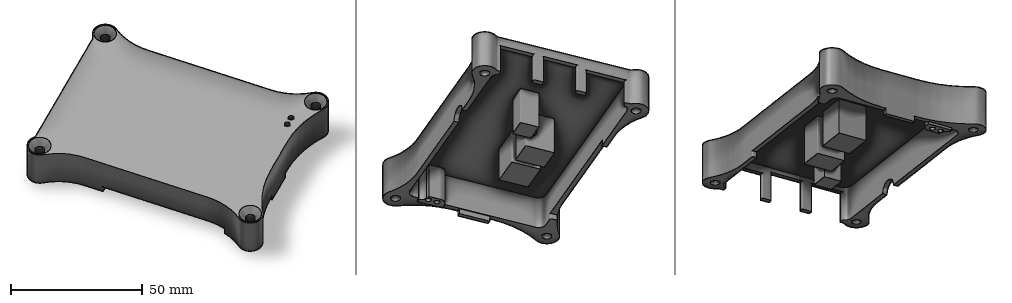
import cadquery as cq
import math

length = 97.3
width = 72.4
case_height = 16.05
full_height = 18.4
tab_depth = full_height - case_height

boss_radius = 4.9
boss_x = length / 2 - boss_radius
boss_y = width / 2 - boss_radius
screw_diameter = 3.7
countersink_diameter = 8.6
countersink_angle = 90

left_x = -47.2
right_x = 42.0
side_y = 30.1
left_blend_radius = 2.0
side_blend_radius = 25.0
right_blend_radius = 40.0

wall = 1.9
roof_thickness = 2.0
cavity_corner_radius = 3.0
cavity_top = case_height - roof_thickness
cavity_left = left_x + wall
cavity_right = right_x - wall
cavity_half_width = side_y - wall

tall_opening_top = 12.2
low_opening_top = 10.8
connector_openings = [
    (12.45, 26.0, tall_opening_top),
    (-5.4, 8.2, tall_opening_top),
    (-25.6, -9.4, low_opening_top),
]

opening_inner_x = cavity_left + cavity_corner_radius

edge_radius = 0.4

notch_x_from = -18.0
notch_x_to = 32.8
notch_height = 2.5
notch_inner_y = -cavity_half_width + wall

jack_x = -14.7
jack_radius = 4.0

pad_middle_y = -0.1
square_pad_y_to = 7.5
wide_pad_y_from = -12.1
pads = [
    (-22.5, -14.7, pad_middle_y, square_pad_y_to, -2.1, "|Z and >Y"),
    (-9.5, 0.5, wide_pad_y_from, pad_middle_y, -2.1, "|Z"),
    (4.1, 16.5, wide_pad_y_from, pad_middle_y, -0.7, "|Z and <X"),
]

post_x = -12.2
post_y = 0.0
post_radius = 3.3
post_bottom = 2.4

light_hole_diameter = 2.2
light_x = 38.4
light_y = 18.2
light_spacing = 3.6
guide_left = 36.3
guide_width = 10.4
guide_corner_radius = 2.9
guide_bottom = -1.1

clearance_x = 36.2
clearance_y = 24.0
clearance_radius = 3.5

tab_left = 40.4
tab_width = 12.5


def box(x_from, x_to, y_from, y_to, z_from, z_to):
    """Axis-aligned block between two opposite corners."""
    size = (x_to - x_from, y_to - y_from, z_to - z_from)
    return cq.Workplane("XY").box(*size, centered=False).translate((x_from, y_from, z_from))


def touch_point(boss, centre):
    """Point where a lug meets the blend arc around the given centre."""
    angle = math.atan2(centre[1] - boss[1], centre[0] - boss[0])
    return (boss[0] + boss_radius * math.cos(angle), boss[1] + boss_radius * math.sin(angle))


def arc_middle(centre, start, end):
    """Middle of the short arc from start to end around the given centre."""
    toward_x = start[0] + end[0] - 2 * centre[0]
    toward_y = start[1] + end[1] - 2 * centre[1]
    radius = math.dist(centre, start)
    scale = radius / math.hypot(toward_x, toward_y)
    return (centre[0] + toward_x * scale, centre[1] + toward_y * scale)


def mirrored(point):
    return (point[0], -point[1])


def add_stretch(outline, start, end, centre):
    if centre is None:
        return outline.lineTo(*end)
    return outline.threePointArc(arc_middle(centre, start, end), end)


def case_body():
    """Solid outline: straight sides running tangentially into four round lugs."""
    left_boss = (-boss_x, boss_y)
    right_boss = (boss_x, boss_y)

    left_offset_x = left_x - left_blend_radius + boss_x
    left_reach = math.sqrt((boss_radius + left_blend_radius) ** 2 - left_offset_x**2)
    left_centre = (left_x - left_blend_radius, boss_y - left_reach)

    side_centre_y = side_y + side_blend_radius
    side_reach = math.sqrt((boss_radius + side_blend_radius) ** 2 - (side_centre_y - boss_y) ** 2)
    side_left_centre = (-boss_x + side_reach, side_centre_y)
    side_right_centre = (boss_x - side_reach, side_centre_y)

    right_centre_x = right_x + right_blend_radius
    right_reach = math.sqrt((boss_radius + right_blend_radius) ** 2 - (right_centre_x - boss_x) ** 2)
    right_centre = (right_centre_x, boss_y - right_reach)

    points = [
        (left_x, left_centre[1]),
        touch_point(left_boss, left_centre),
        touch_point(left_boss, side_left_centre),
        (side_left_centre[0], side_y),
        (side_right_centre[0], side_y),
        touch_point(right_boss, side_right_centre),
        touch_point(right_boss, right_centre),
        (right_x, right_centre[1]),
    ]
    centres = [
        left_centre,
        left_boss,
        side_left_centre,
        None,
        side_right_centre,
        right_boss,
        right_centre,
    ]

    stretches = list(zip(points, points[1:], centres))
    lower_half = [
        (mirrored(end), mirrored(start), centre and mirrored(centre))
        for start, end, centre in reversed(stretches)
    ]
    outline = cq.Workplane("XY").moveTo(*points[0])
    for start, end, centre in stretches:
        outline = add_stretch(outline, start, end, centre)
    outline = outline.lineTo(*mirrored(points[-1]))
    for start, end, centre in lower_half:
        outline = add_stretch(outline, start, end, centre)
    return outline.close().extrude(case_height)


def cavity():
    block = box(cavity_left, cavity_right, -cavity_half_width, cavity_half_width, 0, cavity_top)
    return block.edges("|Z").fillet(cavity_corner_radius)


def cut_opening(case, x_range, y_range, height):
    """Cut an opening up from the rim through a wall and round its upright edges."""
    opened = case.cut(box(*x_range, *y_range, 0, height))
    middle = height / 2
    reach = edge_radius / 2
    near_opening = cq.selectors.BoxSelector(
        (x_range[0] - reach, y_range[0] - reach, middle - reach),
        (x_range[1] + reach, y_range[1] + reach, middle + reach),
    )
    return opened.edges("|Z").edges(near_opening).fillet(edge_radius)


def jack_cutout():
    return (
        cq.Workplane("XZ", origin=(jack_x, cavity_half_width, 0))
        .circle(jack_radius)
        .extrude(-2 * wall)
    )


def light_guide():
    """Block around the viewing holes, rounded on one corner and hollowed on the other."""
    block = box(
        guide_left,
        right_x - wall / 2,
        light_y - guide_width / 2,
        light_y + guide_width / 2,
        guide_bottom,
        case_height,
    )
    block = block.edges("|Z and <X and <Y").fillet(guide_corner_radius)
    clearance = (
        cq.Workplane("XY", origin=(clearance_x, clearance_y, guide_bottom))
        .circle(clearance_radius)
        .extrude(cavity_top - guide_bottom)
    )
    return block.cut(clearance)


def roof_parts():
    """Everything that hangs from the roof or the +X wall inside the case."""
    parts = light_guide()
    parts = parts.union(box(tab_left, right_x, -tab_width / 2, tab_width / 2, -tab_depth, case_height))
    for x_from, x_to, y_from, y_to, bottom, rounded_edges in pads:
        pad = box(x_from, x_to, y_from, y_to, bottom, case_height)
        parts = parts.union(pad.edges(rounded_edges).fillet(edge_radius))
    post = (
        cq.Workplane("XY", origin=(post_x, post_y, post_bottom))
        .circle(post_radius)
        .extrude(case_height - post_bottom)
    )
    return parts.union(post)


def add_holes(case):
    screw_points = [(x, y) for x in (-boss_x, boss_x) for y in (-boss_y, boss_y)]
    light_points = [(light_x, light_y + side * light_spacing / 2) for side in (-1, 1)]
    roof = case.faces(">Z").workplane(origin=(0, 0, case_height)).pushPoints(screw_points)
    drilled = roof.cskHole(screw_diameter, countersink_diameter, countersink_angle)
    light_cutter = (
        cq.Workplane("XY", origin=(0, 0, guide_bottom))
        .pushPoints(light_points)
        .circle(light_hole_diameter / 2)
        .extrude(case_height - guide_bottom)
    )
    return drilled.cut(light_cutter)


case = case_body().cut(cavity()).cut(jack_cutout())
case = cut_opening(case, (notch_x_from, notch_x_to), (-width / 2, notch_inner_y), notch_height)
for y_from, y_to, top in connector_openings:
    case = cut_opening(case, (-length / 2, opening_inner_x), (y_from, y_to), top)
case = case.union(roof_parts())
result = add_holes(case)